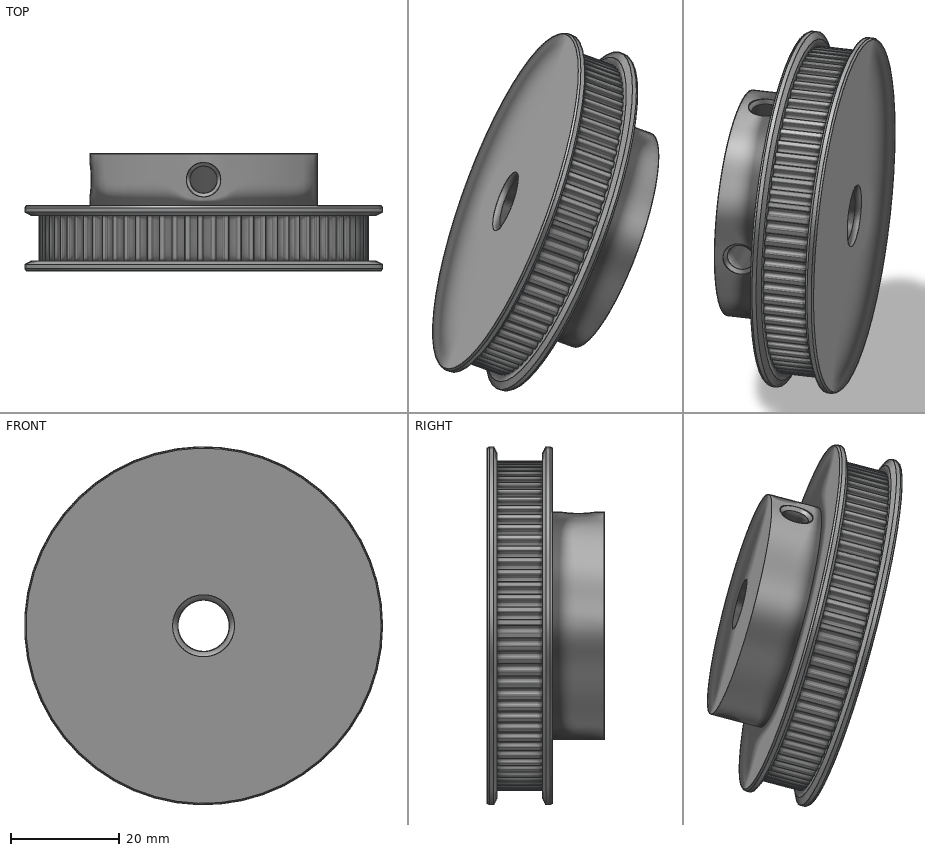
import cadquery as cq
import math

FLANGE_DIAMETER = 66.15
FLANGE_WIDTH = 1.85
FLANGE_RIM_SETBACK = 0.4
FLANGE_RIM_DROP = 0.25
FLANGE_GUIDE_SETBACK = 0.65
FLANGE_GUIDE_DROP = 1.3

TOOTH_COUNT = 80
TOOTHED_DIAMETER = 60.85
TOOTHED_WIDTH = 8.35
GROOVE_RADIUS = 0.65
GROOVE_DEPTH = 0.9
TIP_FILLET = 0.18
GROOVE_PHASE = -0.25

HUB_DIAMETER = 42.0
HUB_LENGTH = 9.6
BORE_DIAMETER = 9.45
BORE_CHAMFER = 1.0

SET_SCREW_DIAMETER = 5.0
SET_SCREW_MOUTH_DIAMETER = 6.35

front_flange_back = FLANGE_WIDTH
rear_flange_front = front_flange_back + TOOTHED_WIDTH
hub_front = rear_flange_front + FLANGE_WIDTH
hub_back = hub_front + HUB_LENGTH
set_screw_y = (hub_front + hub_back) / 2


def disc(diameter, y_start, y_end):
    """Cylinder about the Y axis between two stations."""
    return (
        cq.Workplane("XZ", origin=(0, y_start, 0))
        .circle(diameter / 2)
        .extrude(y_start - y_end)
    )


def flange(outer_y, inward):
    """Bevelled flange whose outer face lies at outer_y; inward (+1 or -1) points to the teeth."""
    radius = FLANGE_DIAMETER / 2
    inner_y = outer_y + inward * FLANGE_WIDTH
    section = [
        (0, outer_y),
        (radius - FLANGE_RIM_DROP, outer_y),
        (radius, outer_y + inward * FLANGE_RIM_SETBACK),
        (radius, inner_y - inward * FLANGE_GUIDE_SETBACK),
        (radius - FLANGE_GUIDE_DROP, inner_y),
        (0, inner_y),
    ]
    return cq.Workplane("XY").polyline(section).close().revolve(360, (0, 0, 0), (0, 1, 0))


def rim_point(radius, angle):
    """Point in the XZ plane at an angle in degrees, counted from +X towards +Z."""
    return (radius * math.cos(math.radians(angle)), radius * math.sin(math.radians(angle)))


def toothed_rim():
    """Toothed ring: round-bottomed grooves run into the rounded corners of the tooth tips."""
    tip_radius = TOOTHED_DIAMETER / 2
    root_radius = tip_radius - GROOVE_DEPTH
    groove_centre = root_radius + GROOVE_RADIUS
    pitch_angle = 360 / TOOTH_COUNT

    corner_centre_radius = tip_radius - TIP_FILLET
    corner_offset = GROOVE_RADIUS + TIP_FILLET
    corner_angle = math.degrees(math.asin(corner_offset / corner_centre_radius))
    wall_top = math.sqrt(corner_centre_radius**2 - corner_offset**2)
    diagonal = math.radians((90 + corner_angle) / 2)
    corner_middle = (
        wall_top + TIP_FILLET * math.sin(diagonal),
        corner_offset - TIP_FILLET * math.cos(diagonal),
    )

    def groove_point(outward, sideways, groove_angle):
        """Turn a point given relative to a groove's centre line into XZ coordinates."""
        radius = math.hypot(outward, sideways)
        return rim_point(radius, groove_angle + math.degrees(math.atan2(sideways, outward)))

    first_angle = GROOVE_PHASE * pitch_angle
    outline = cq.Workplane("XZ", origin=(0, front_flange_back, 0)).moveTo(
        *rim_point(tip_radius, first_angle - corner_angle)
    )
    for groove in range(TOOTH_COUNT):
        angle = first_angle + groove * pitch_angle
        outline = (
            outline.threePointArc(
                groove_point(corner_middle[0], -corner_middle[1], angle),
                groove_point(wall_top, -GROOVE_RADIUS, angle),
            )
            .lineTo(*groove_point(groove_centre, -GROOVE_RADIUS, angle))
            .threePointArc(
                rim_point(root_radius, angle),
                groove_point(groove_centre, GROOVE_RADIUS, angle),
            )
            .lineTo(*groove_point(wall_top, GROOVE_RADIUS, angle))
            .threePointArc(
                groove_point(*corner_middle, angle),
                rim_point(tip_radius, angle + corner_angle),
            )
            .threePointArc(
                rim_point(tip_radius, angle + pitch_angle / 2),
                rim_point(tip_radius, angle + pitch_angle - corner_angle),
            )
        )
    return outline.close().extrude(-TOOTHED_WIDTH)


def bore():
    """Through bore with a chamfered mouth in the front flange."""
    radius = BORE_DIAMETER / 2
    section = [
        (0, 0),
        (radius + BORE_CHAMFER, 0),
        (radius, BORE_CHAMFER),
        (radius, hub_back),
        (0, hub_back),
    ]
    return cq.Workplane("XY").polyline(section).close().revolve(360, (0, 0, 0), (0, 1, 0))


def set_screw_cutter():
    """Cutter for the set-screw hole from the bore up through +Z, countersunk at the hub's surface."""
    radius = SET_SCREW_DIAMETER / 2
    mouth_radius = SET_SCREW_MOUTH_DIAMETER / 2
    top = HUB_DIAMETER / 2
    mouth_z = math.sqrt(top**2 - mouth_radius**2)
    section = [
        (0, 0),
        (radius, 0),
        (radius, mouth_z - (mouth_radius - radius)),
        (mouth_radius, mouth_z),
        (mouth_radius, top),
        (0, top),
    ]
    cutter = cq.Workplane("XZ").polyline(section).close().revolve(360, (0, 0, 0), (0, 1, 0))
    return cutter.translate((0, set_screw_y, 0))


first_set_screw = set_screw_cutter()
second_set_screw = first_set_screw.rotate((0, 0, 0), (0, 1, 0), -90)

result = (
    flange(0, 1)
    .union(toothed_rim())
    .union(flange(hub_front, -1))
    .union(disc(HUB_DIAMETER, hub_front, hub_back))
    .cut(bore())
    .cut(first_set_screw)
    .cut(second_set_screw)
)